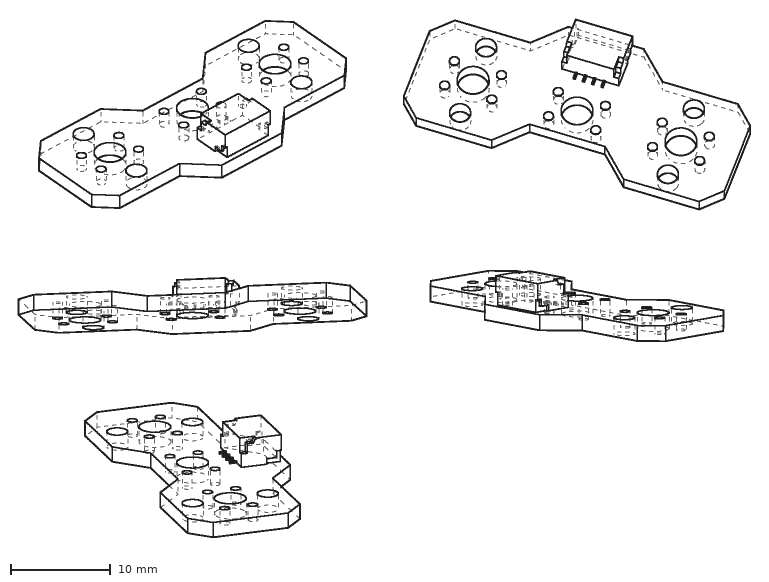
import cadquery as cq

board_length = 34.0
board_width = 15.0
board_thickness = 1.6
corner_chamfer = 2.0
middle_shift = 3.0
lobe_width = board_width - middle_shift
straight_length = 8.0

group_pitch = 11.0
center_hole_diameter = 3.2
mount_hole_diameter = 2.1
mount_hole_offset = 4.0
small_hole_diameter = 1.0
small_hole_spacing_x = 3.0
small_hole_spacing_y = 5.0

housing_length = 4.25
housing_width = 6.02
housing_height = 2.95
housing_edge_gap = 0.6

rear_notch_depth = 0.5
rear_step_length = 0.6
rear_step_drop = 1.53
rear_shelf_drop = 0.5
rear_shelf_length = 1.25
rear_opening_length = 1.53

front_notch_depth = 0.27
front_step_length = 0.5
front_step_height = 1.3
front_foot_length = 1.53
front_foot_height = 0.58

pin_count = 4
pin_pitch = 1.0
pin_width = 0.2
pin_height = 0.17
pin_length = 0.7

lobe_right = lobe_width / 2
lobe_left = -lobe_right
board_right = lobe_right + middle_shift
middle_left = lobe_left + middle_shift
housing_front = board_right - housing_edge_gap
housing_rear = housing_front - housing_length
housing_bottom = board_thickness
housing_top = housing_bottom + housing_height


def make_board():
    end = board_length / 2
    lobe_outer = end - corner_chamfer
    lobe_inner = lobe_outer - straight_length
    middle_end = straight_length / 2
    outline = [
        (lobe_left + corner_chamfer, -end),
        (lobe_right - corner_chamfer, -end),
        (lobe_right, -lobe_outer),
        (lobe_right, -lobe_inner),
        (board_right, -middle_end),
        (board_right, middle_end),
        (lobe_right, lobe_inner),
        (lobe_right, lobe_outer),
        (lobe_right - corner_chamfer, end),
        (lobe_left + corner_chamfer, end),
        (lobe_left, lobe_outer),
        (lobe_left, lobe_inner),
        (middle_left, middle_end),
        (middle_left, -middle_end),
        (lobe_left, -lobe_inner),
        (lobe_left, -lobe_outer),
    ]
    return cq.Workplane("XY").polyline(outline).close().extrude(board_thickness)


def drill_holes(board):
    top = cq.Workplane("XY", origin=(0, 0, board_thickness))
    group_centers = [-group_pitch, 0, group_pitch]
    for y in group_centers:
        group = top.center(0, y)
        center_hole = group.circle(center_hole_diameter / 2).extrude(-board_thickness)
        small_holes = (
            group.rect(small_hole_spacing_x, small_hole_spacing_y, forConstruction=True)
            .vertices()
            .circle(small_hole_diameter / 2)
            .extrude(-board_thickness)
        )
        board = board.cut(center_hole).cut(small_holes)

    mount_points = [
        (x, y)
        for x in (-mount_hole_offset, mount_hole_offset)
        for y in (-group_pitch, group_pitch)
    ]
    mount_holes = top.pushPoints(mount_points).circle(mount_hole_diameter / 2).extrude(-board_thickness)
    return board.cut(mount_holes)


def cut_side_notches(housing, profile, depth):
    """Cut an XZ profile to the given depth into both Y sides of the housing."""
    side = housing_width / 2
    notch = cq.Workplane("XZ", origin=(0, -side, 0)).polyline(profile).close().extrude(-depth)
    return housing.cut(notch).cut(notch.mirror("XZ"))


def make_housing():
    housing = cq.Workplane("XY").box(
        housing_length, housing_width, housing_height, centered=(False, True, False)
    )
    housing = housing.translate((housing_rear, 0, housing_bottom))

    rear_profile = [
        (housing_rear, housing_top),
        (housing_rear, housing_top - rear_step_drop),
        (housing_rear + rear_step_length, housing_top - rear_step_drop),
        (housing_rear + rear_step_length, housing_top - rear_shelf_drop),
        (housing_rear + rear_shelf_length, housing_top - rear_shelf_drop),
        (housing_rear + rear_opening_length, housing_top),
    ]
    housing = cut_side_notches(housing, rear_profile, rear_notch_depth)

    front_profile = [
        (housing_front, housing_bottom),
        (housing_front, housing_bottom + front_step_height),
        (housing_front - front_step_length, housing_bottom + front_step_height),
        (housing_front - front_step_length, housing_bottom + front_foot_height),
        (housing_front - front_foot_length, housing_bottom + front_foot_height),
        (housing_front - front_foot_length, housing_bottom),
    ]
    return cut_side_notches(housing, front_profile, front_notch_depth)


def make_pins():
    pin_center_x = housing_rear - pin_length / 2
    return (
        cq.Workplane("XY", origin=(pin_center_x, 0, board_thickness))
        .rarray(pin_length, pin_pitch, 1, pin_count)
        .rect(pin_length, pin_width)
        .extrude(pin_height)
    )


board = drill_holes(make_board())
result = board.union(make_housing()).union(make_pins())